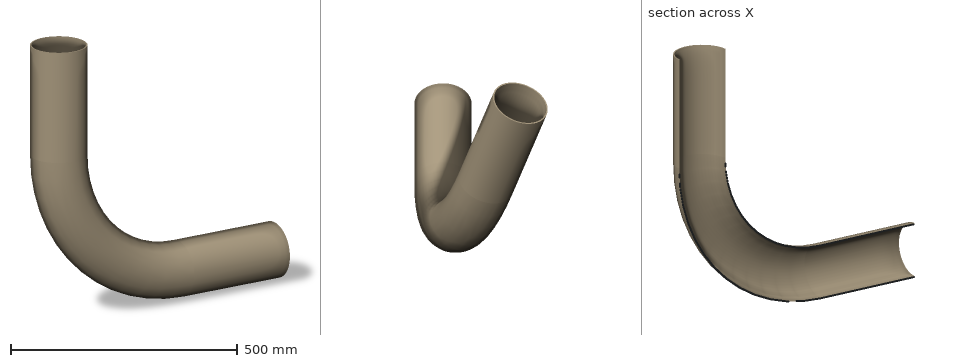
import cadquery as cq
import math

overall_size = 635.0
outer_diameter = 127.0
inner_diameter = 120.5
straight_length = 254.0

outer_radius = outer_diameter / 2
inner_radius = inner_diameter / 2
bend_radius = overall_size - straight_length - outer_radius

bend_middle = bend_radius * (1 - math.sqrt(0.5))
centreline = (
    cq.Workplane("YZ")
    .moveTo(0, bend_radius + straight_length)
    .lineTo(0, bend_radius)
    .threePointArc((bend_middle, bend_middle), (bend_radius, 0))
    .lineTo(bend_radius + straight_length, 0)
)

result = (
    cq.Workplane("XY")
    .workplane(offset=bend_radius + straight_length)
    .circle(outer_radius)
    .circle(inner_radius)
    .sweep(centreline)
)